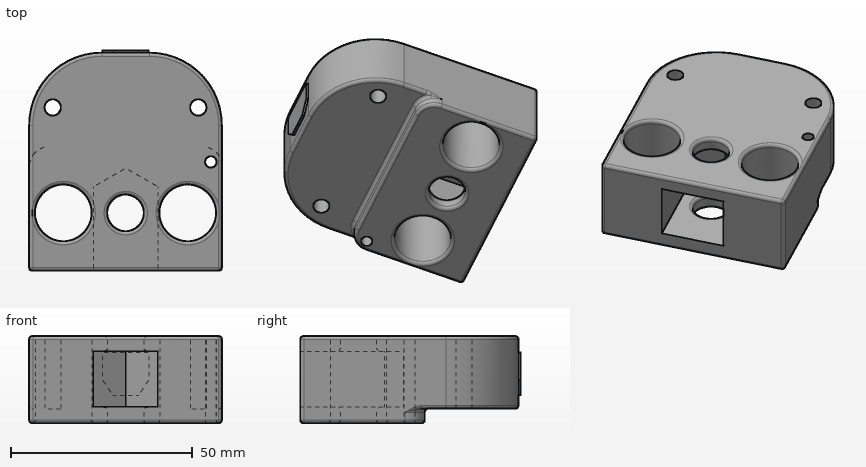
import cadquery as cq
import math

width = 53.0
total_depth = 60.6
height = 24.0
edge_radius = 0.95
back_pad_thickness = 0.6
body_depth = total_depth - back_pad_thickness
back_corner_radius = 20.0
half_width = width / 2

underside_z = 4.0
foot_depth = 34.25
foot_corner_radius = 5.6
selection_margin = 0.05

front_row_y = 15.95
side_bore_x = 17.1
side_bore_diameter = 15.5
center_bore_diameter = 10.0
screw_hole_diameter = 4.4
screw_hole_x = 20.0
screw_hole_y = 44.9
pin_hole_diameter = 3.1
pin_hole_x = 23.45
pin_hole_y = 29.95

pocket_width = 17.8
pocket_floor_z = 4.5
pocket_height = 15.35
pocket_shoulder_y = 23.15
pocket_end_slope = 30.0
pocket_ceiling_z = pocket_floor_z + pocket_height

back_pad_width = 12.7
back_pad_top_z = 19.5
back_pad_bottom_z = 7.75
back_pad_shoulder_z = 12.0
back_pad_bottom_width = 7.0


def rounded_back_block(depth, corner_radius, bottom_z, top_z):
    """Block with its front face at Y = 0 and two rounded back corners."""
    return (
        cq.Workplane("XY", origin=(0, depth / 2, bottom_z))
        .rect(width, depth)
        .extrude(top_z - bottom_z)
        .edges("|Z and >Y")
        .fillet(corner_radius)
    )


def make_body():
    upper = rounded_back_block(body_depth, back_corner_radius, underside_z, height)
    foot = rounded_back_block(foot_depth, foot_corner_radius, 0, underside_z)
    body = upper.union(foot).clean()
    foot_back_edge = cq.selectors.BoxSelector(
        (-half_width, foot_depth - foot_corner_radius, underside_z - selection_margin),
        (half_width, foot_depth + selection_margin, underside_z + selection_margin),
    )
    return body.edges(foot_back_edge).fillet(edge_radius).edges().fillet(edge_radius)


def flared_bore(diameter, x, y, bottom_z, top_z):
    """Round cutter whose two mouths flare out with the edge radius."""
    radius = diameter / 2
    mouth = radius + edge_radius
    mid = mouth - edge_radius * math.sqrt(0.5)
    rise = edge_radius * (1 - math.sqrt(0.5))
    return (
        cq.Workplane("XZ")
        .moveTo(0, bottom_z)
        .lineTo(mouth, bottom_z)
        .threePointArc((mid, bottom_z + rise), (radius, bottom_z + edge_radius))
        .lineTo(radius, top_z - edge_radius)
        .threePointArc((mid, top_z - rise), (mouth, top_z))
        .lineTo(0, top_z)
        .close()
        .revolve(360, (0, 0), (0, 1))
        .translate((x, y, 0))
    )


def plain_hole(diameter, x, y):
    return cq.Workplane("XY").center(x, y).circle(diameter / 2).extrude(height)


def make_pocket():
    half = pocket_width / 2
    tip_y = pocket_shoulder_y + half * math.tan(math.radians(pocket_end_slope))
    return (
        cq.Workplane("XY", origin=(0, 0, pocket_floor_z))
        .polyline([
            (-half, 0),
            (half, 0),
            (half, pocket_shoulder_y),
            (0, tip_y),
            (-half, pocket_shoulder_y),
        ])
        .close()
        .extrude(pocket_height)
    )


def make_back_pad():
    half_top = back_pad_width / 2
    half_bottom = back_pad_bottom_width / 2
    return (
        cq.Workplane("XZ", origin=(0, total_depth, 0))
        .polyline([
            (-half_top, back_pad_top_z),
            (half_top, back_pad_top_z),
            (half_top, back_pad_shoulder_z),
            (half_bottom, back_pad_bottom_z),
            (-half_bottom, back_pad_bottom_z),
            (-half_top, back_pad_shoulder_z),
        ])
        .close()
        .extrude(2 * back_pad_thickness)
    )


result = make_body().union(make_back_pad()).cut(make_pocket())
for side in (-1, 1):
    result = result.cut(flared_bore(side_bore_diameter, side * side_bore_x, front_row_y, 0, height))
    result = result.cut(plain_hole(screw_hole_diameter, side * screw_hole_x, screw_hole_y))
for bottom_z, top_z in ((0, pocket_floor_z), (pocket_ceiling_z, height)):
    result = result.cut(flared_bore(center_bore_diameter, 0, front_row_y, bottom_z, top_z))
result = result.cut(plain_hole(pin_hole_diameter, pin_hole_x, pin_hole_y))